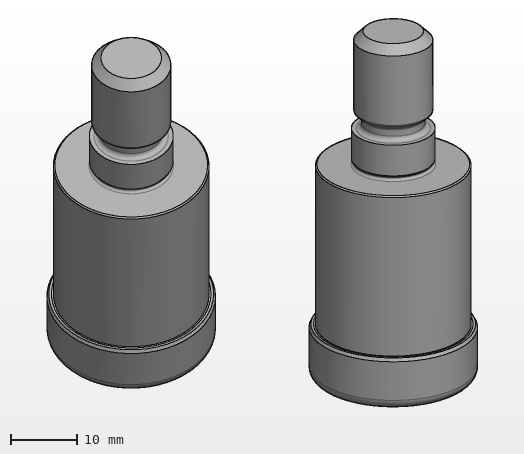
import cadquery as cq

cap_radius = 12.7
cap_height = 8.55
cap_rim_bevel_width = 0.3
cap_rim_bevel_height = 0.5
cap_bottom_fillet = 1.65

body_radius = 11.75
foot_radius = 12.0
body_top = 35.0
body_edge_chamfer = 0.2
socket_floor = cap_bottom_fillet

stud_radius = 6.0
stud_top = 57.0
stud_tip_chamfer = 1.4
stud_base_fillet = 0.4
collar_radius = 6.3
collar_bottom = 35.9
collar_top = 41.0
groove_radius = 4.8
groove_fillet = 0.8
groove_cone_bottom = 43.0
groove_cone_top = 43.95
groove_cone_fillet = 0.35


def make_cap():
    """Round cup with a bevelled rim, a rounded bottom edge and a socket for the body."""
    profile = (
        cq.Workplane("XZ")
        .lineTo(cap_radius, 0)
        .lineTo(cap_radius, cap_height - cap_rim_bevel_height)
        .lineTo(cap_radius - cap_rim_bevel_width, cap_height)
        .lineTo(0, cap_height)
        .close()
    )
    cup = profile.revolve(360, (0, 0, 0), (0, 1, 0))
    cup = cup.faces("<Z").edges().fillet(cap_bottom_fillet)
    socket = (
        cq.Workplane("XY")
        .workplane(offset=socket_floor)
        .circle(foot_radius)
        .extrude(cap_height - socket_floor)
    )
    return cup.cut(socket)


def make_body():
    """Footed cylinder and grooved stud, revolved from one half profile (radius, height)."""
    quarter_arc_mid = 1 - 0.5**0.5
    base_arc_mid = quarter_arc_mid * stud_base_fillet
    groove_arc_mid = quarter_arc_mid * groove_fillet
    profile = (
        cq.Workplane("XZ")
        .moveTo(0, socket_floor)
        .lineTo(foot_radius, socket_floor)
        .lineTo(foot_radius, cap_height)
        .lineTo(body_radius, cap_height)
        .lineTo(body_radius, body_top - body_edge_chamfer)
        .lineTo(body_radius - body_edge_chamfer, body_top)
        .lineTo(stud_radius + stud_base_fillet, body_top)
        .threePointArc(
            (stud_radius + base_arc_mid, body_top + base_arc_mid),
            (stud_radius, body_top + stud_base_fillet),
        )
        .lineTo(stud_radius, collar_bottom - (collar_radius - stud_radius))
        .lineTo(collar_radius, collar_bottom)
        .lineTo(collar_radius, collar_top)
        .lineTo(groove_radius + groove_fillet, collar_top)
        .threePointArc(
            (groove_radius + groove_arc_mid, collar_top + groove_arc_mid),
            (groove_radius, collar_top + groove_fillet),
        )
        .lineTo(groove_radius, groove_cone_bottom)
        .lineTo(stud_radius, groove_cone_top)
        .lineTo(stud_radius, stud_top - stud_tip_chamfer)
        .lineTo(stud_radius - stud_tip_chamfer, stud_top)
        .lineTo(0, stud_top)
        .close()
    )
    solid = profile.revolve(360, (0, 0, 0), (0, 1, 0))
    cone_edges = cq.selectors.BoxSelector(
        (-stud_radius, -stud_radius, groove_cone_bottom - groove_cone_fillet),
        (stud_radius, stud_radius, groove_cone_top + groove_cone_fillet),
    )
    return solid.edges("%CIRCLE").edges(cone_edges).fillet(groove_cone_fillet)


cap = make_cap()
body = make_body()
result = cq.Compound.makeCompound([cap.val(), body.val()])